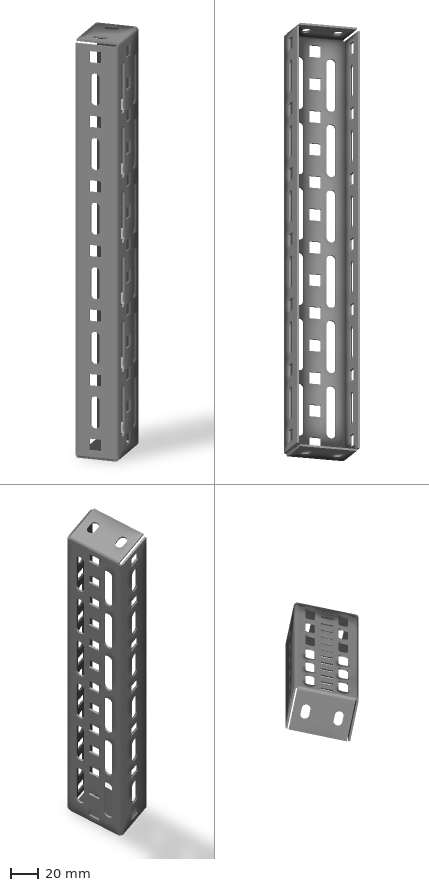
import cadquery as cq

depth = 33.0
width = 49.0
length = 324.0

sheet = 1.5
bend_radius = 2.5

row_span = 300.0
square_side = 9.0
slot_width = 7.0
flange_slot_length = 25.0
row_from_open_edge = 15.5
web_slot_length = 40.2
end_slot_length = 11.0
end_slot_width = 6.5
flange_slot_count = 6
pitch = row_span / flange_slot_count
half_pitch = pitch / 2
flange_square_count = flange_slot_count + 1
web_square_count = 2 * flange_slot_count + 1

open_edge_x = -depth / 2
row_x = open_edge_x + row_from_open_edge
inner_radius = bend_radius - sheet


def folded_channel(span, height):
    """U section with outer size span across its legs, extruded along Z and centred."""
    outer = (
        cq.Workplane("XY")
        .box(depth, span, height)
        .edges("|Z and >X")
        .fillet(bend_radius)
    )
    inner = (
        cq.Workplane("XY")
        .box(depth, span - 2 * sheet, height)
        .edges("|Z and >X")
        .fillet(inner_radius)
        .translate((-sheet, 0, 0))
    )
    return outer.cut(inner)


def row(count, spacing):
    """Positions of evenly spaced holes, centred on zero."""
    return [(i - (count - 1) / 2) * spacing for i in range(count)]


side_channel = folded_channel(width, length - 2 * bend_radius)

end_channel = folded_channel(length, width - 2 * bend_radius).rotate((0, 0, 0), (1, 0, 0), 90)

body = side_channel.union(end_channel)

flange_squares = (
    cq.Workplane("XZ")
    .pushPoints([(row_x, z) for z in row(flange_square_count, pitch)])
    .rect(square_side, square_side)
    .extrude(width, both=True)
)
flange_slots = (
    cq.Workplane("XZ")
    .pushPoints([(row_x, z) for z in row(flange_slot_count, pitch)])
    .slot2D(flange_slot_length, slot_width, 90)
    .extrude(width, both=True)
)

web_squares = (
    cq.Workplane("YZ")
    .pushPoints([(0, z) for z in row(web_square_count, half_pitch)])
    .rect(square_side, square_side)
    .extrude(depth)
)
web_slots = (
    cq.Workplane("YZ")
    .pushPoints([(y, z) for y in row(2, half_pitch) for z in row(flange_slot_count, pitch)])
    .slot2D(web_slot_length, slot_width, 90)
    .extrude(depth)
)

end_slots = (
    cq.Workplane("XY")
    .pushPoints([(row_x, y) for y in row(2, half_pitch)])
    .slot2D(end_slot_length, end_slot_width)
    .extrude(length, both=True)
)

result = body
for holes in (flange_squares, flange_slots, web_squares, web_slots, end_slots):
    result = result.cut(holes)